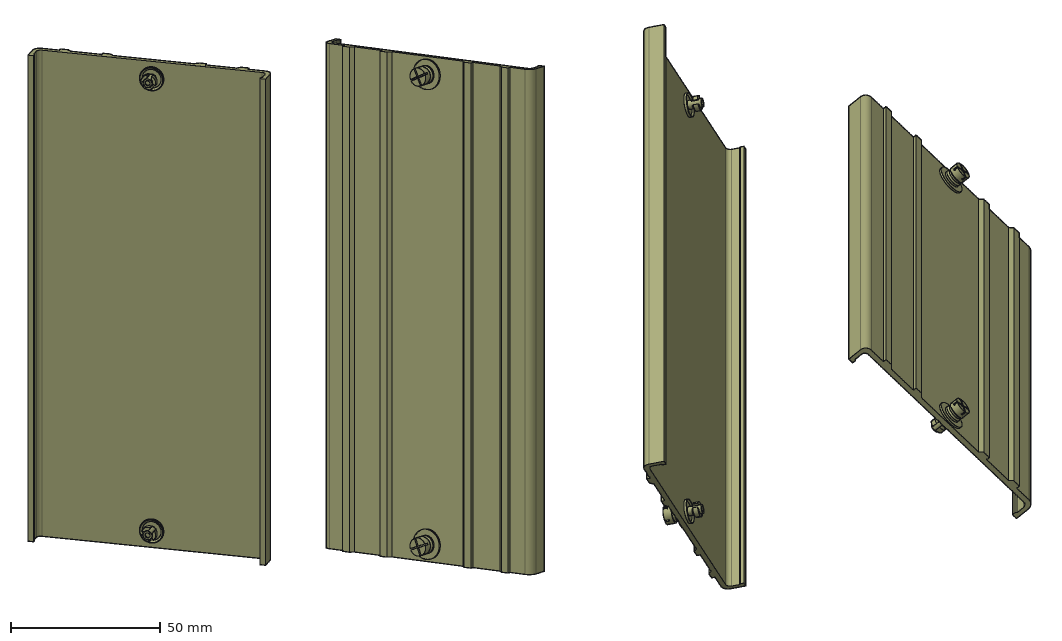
import cadquery as cq

LENGTH = 173.0
WIDTH = 83.2
PLATE_FRONT = 6.0
PLATE_THICKNESS = 1.9
FLANGE_THICKNESS = 1.5
CORNER_RADIUS = 2.6
INNER_RADIUS = 1.5
LIP_DEPTH = 0.43
LIP_STRAIGHT = 1.2
LIP_HEIGHT = LIP_STRAIGHT + LIP_DEPTH

HALF_WIDTH = WIDTH / 2
PLATE_BACK = PLATE_FRONT + PLATE_THICKNESS

RIB_HEIGHT = 1.2
RIB_TOP_WIDTH = 2.8
RIB_OUTER_SIDES = (18.2, 33.0)

FASTENER_INSET = 6.0
HEAD_TOP = 13.8
HEAD_BOTTOM = 10.9
HEAD_RADIUS = 3.1
NECK_RADIUS = 2.6
NECK_BOTTOM = 10.0
SHOULDER_TOP = 9.3
BACK_DISC_RADIUS = 5.2
BACK_DISC_THICKNESS = 0.7
CUP_RADIUS = 4.2
CUP_THICKNESS = 0.9
CUP_RIM = 0.2
CUP_FLOOR_RADIUS = 3.3
CUP_DEPTH = 0.5
SHANK_RADIUS = 1.5
COLLAR_RADIUS = 2.6
COLLAR_TOP = 4.2
COLLAR_SHOULDER = 3.5
COLLAR_BOTTOM = 1.7
SHANK_TIP = 0.9

SLOT_WIDTH = 0.5
SLOT_DEPTH = 1.5
SLOT_ANGLE = 64.0
LUG_COUNT = 3
GAP_WIDTH = 1.5
GAP_ANGLE = 80.0
TIP_HOLE_RADIUS = 0.9
TIP_HOLE_DEPTH = 0.5
CUT_MARGIN = 1.7
LOWER_SPIN = 95.0


def mirrored_prism(points, direction):
    """A full-length prism; direction is 1 for the right half of the panel, -1 for the left."""
    placed = [(direction * x, y) for x, y in points]
    return cq.Workplane("XY").polyline(placed).close().extrude(LENGTH)


def rib(outer_side, direction):
    """One rib, rooted inside the plate."""
    root = PLATE_FRONT + PLATE_THICKNESS / 2
    top = PLATE_BACK + RIB_HEIGHT
    inner_top = outer_side - RIB_TOP_WIDTH
    inner_foot = inner_top - RIB_HEIGHT
    points = [
        (outer_side, root),
        (outer_side, top),
        (inner_top, top),
        (inner_foot, PLATE_BACK),
        (inner_foot, root),
    ]
    return mirrored_prism(points, direction)


def flange_lip(direction):
    """The inward lip at the free edge of one flange, sloped on its upper side."""
    flange_middle = HALF_WIDTH - FLANGE_THICKNESS / 2
    flange_side = HALF_WIDTH - FLANGE_THICKNESS
    lip_side = flange_side - LIP_DEPTH
    points = [
        (flange_middle, 0),
        (lip_side, 0),
        (lip_side, LIP_STRAIGHT),
        (flange_side, LIP_HEIGHT),
        (flange_middle, LIP_HEIGHT),
    ]
    return mirrored_prism(points, direction)


def channel():
    """Plate and flanges with rounded corners."""
    outer = (
        cq.Workplane("XY")
        .rect(WIDTH, 2 * PLATE_BACK)
        .extrude(LENGTH)
        .edges("|Z and >Y")
        .fillet(CORNER_RADIUS)
    )
    inner = (
        cq.Workplane("XY")
        .rect(WIDTH - 2 * FLANGE_THICKNESS, 2 * PLATE_FRONT)
        .extrude(LENGTH)
        .edges("|Z and >Y")
        .fillet(INNER_RADIUS)
    )
    front_half = cq.Workplane("XY").rect(WIDTH, 2 * PLATE_BACK).extrude(LENGTH)
    front_half = front_half.translate((0, -PLATE_BACK, 0))
    return outer.cut(inner).cut(front_half)


def fastener_hole(height):
    """Round hole through the plate, of the same radius as the fastener shank."""
    return cq.Workplane("XZ").center(0, height).circle(SHANK_RADIUS).extrude(-2 * PLATE_BACK)


def make_panel(fastener_heights):
    panel = channel()
    for direction in (-1, 1):
        panel = panel.union(flange_lip(direction))
        for outer_side in RIB_OUTER_SIDES:
            panel = panel.union(rib(outer_side, direction))
    for height in fastener_heights:
        panel = panel.cut(fastener_hole(height))
    return panel


def turned_body():
    """The fastener before slotting, turned about the Y axis."""
    disc_top = PLATE_BACK + BACK_DISC_THICKNESS
    cup_face = PLATE_FRONT - CUP_THICKNESS
    cup_floor = cup_face + CUP_DEPTH
    outline = [
        (0, HEAD_TOP),
        (HEAD_RADIUS, HEAD_TOP),
        (HEAD_RADIUS, HEAD_BOTTOM),
        (NECK_RADIUS, HEAD_BOTTOM),
        (NECK_RADIUS, NECK_BOTTOM),
        (HEAD_RADIUS, SHOULDER_TOP),
        (HEAD_RADIUS, disc_top),
        (BACK_DISC_RADIUS, disc_top),
        (BACK_DISC_RADIUS, PLATE_BACK),
        (SHANK_RADIUS, PLATE_BACK),
        (SHANK_RADIUS, PLATE_FRONT),
        (CUP_RADIUS, PLATE_FRONT),
        (CUP_RADIUS, cup_face),
        (CUP_RADIUS - CUP_RIM, cup_face),
        (CUP_FLOOR_RADIUS, cup_floor),
        (SHANK_RADIUS, cup_floor),
        (SHANK_RADIUS, COLLAR_TOP),
        (COLLAR_RADIUS, COLLAR_SHOULDER),
        (COLLAR_RADIUS, COLLAR_BOTTOM),
        (SHANK_RADIUS, COLLAR_BOTTOM),
        (SHANK_RADIUS, SHANK_TIP),
        (TIP_HOLE_RADIUS, SHANK_TIP),
        (TIP_HOLE_RADIUS, SHANK_TIP + TIP_HOLE_DEPTH),
        (0, SHANK_TIP + TIP_HOLE_DEPTH),
    ]
    return cq.Workplane("XY").polyline(outline).close().revolve(360, (0, 0, 0), (0, 1, 0))


def turn(shape, angle):
    """Turn a shape about the Y axis, from +X towards +Z."""
    return shape.rotate((0, 0, 0), (0, 1, 0), -angle)


def head_slots():
    """Cross slot, open at the side of the head."""
    bar = cq.Workplane("XY").box(2 * HEAD_RADIUS + CUT_MARGIN, SLOT_DEPTH, SLOT_WIDTH)
    bar = bar.translate((0, HEAD_TOP - SLOT_DEPTH / 2, 0))
    return turn(bar, SLOT_ANGLE).union(turn(bar, SLOT_ANGLE + 90))


def collar_gaps():
    """Radial gaps that split the collar into lugs down to the shank."""
    height = COLLAR_TOP - COLLAR_BOTTOM
    bar = cq.Workplane("XY").box(COLLAR_RADIUS + CUT_MARGIN, height, GAP_WIDTH, centered=(False, False, True))
    bar = bar.translate((0, COLLAR_BOTTOM, 0))
    gaps = turn(bar, GAP_ANGLE)
    for index in range(1, LUG_COUNT):
        gaps = gaps.union(turn(bar, GAP_ANGLE + index * 360 / LUG_COUNT))
    shank = cq.Workplane("XZ").circle(SHANK_RADIUS).extrude(-PLATE_FRONT)
    return gaps.cut(shank)


def make_fastener(height, spin):
    fastener = turned_body().cut(head_slots()).cut(collar_gaps())
    return turn(fastener, spin).translate((0, 0, height))


fastener_places = [(FASTENER_INSET, LOWER_SPIN), (LENGTH - FASTENER_INSET, 0.0)]

panel = make_panel([height for height, spin in fastener_places])
fasteners = [make_fastener(height, spin).val() for height, spin in fastener_places]

result = cq.Compound.makeCompound([panel.val(), *fasteners])